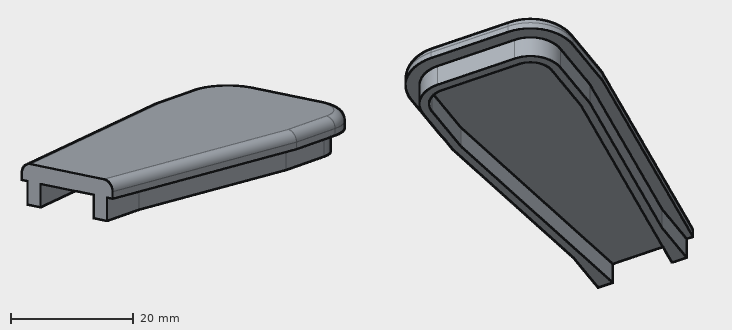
import cadquery as cq
import math

length = 60.5
back_width = 30.0
front_width = 18.75
straight_start = 18.3
corner_radius = 7.85
total_height = 7.0
plate_thickness = 3.0
edge_radius = 1.8

skirt_inset = 2.3
wall_thickness = 1.6
front_pad_length = 8.65

skirt_height = total_height - plate_thickness
front_y = -length / 2
back_y = length / 2
shoulder_y = back_y - straight_start
taper_slope = (back_width - front_width) / 2 / (shoulder_y - front_y)
taper_angle = math.atan(taper_slope)


def inset_half_width(y, inset):
    """Half width on the tapered stretch, with the inset measured square to the side."""
    return front_width / 2 + taper_slope * (y - front_y) - inset / math.cos(taper_angle)


def tapered_body(inset, height):
    """Extrude the cover outline, moved inward everywhere except at the open front end."""
    front_x = inset_half_width(front_y, inset)
    back_x = back_width / 2 - inset
    bend_y = shoulder_y + inset * math.tan(taper_angle / 2)
    outline = [
        (-front_x, front_y),
        (front_x, front_y),
        (back_x, bend_y),
        (back_x, back_y - inset),
        (-back_x, back_y - inset),
        (-back_x, bend_y),
    ]
    body = cq.Workplane("XY").polyline(outline).close().extrude(height)
    return body.edges("|Z and >Y").fillet(corner_radius - inset)


def make_plate():
    """Top plate, rounded along its upper rim except across the open front end."""
    plate = tapered_body(0, plate_thickness)
    plate = plate.faces(">Z").edges("not <Y").fillet(edge_radius)
    return plate.translate((0, 0, skirt_height))


def make_skirt():
    """U-shaped wall, open at the front, with straight outer sides near the front."""
    pad_half_width = inset_half_width(front_y + front_pad_length, skirt_inset)
    front_pad = (
        cq.Workplane("XY")
        .rect(2 * pad_half_width, front_pad_length)
        .extrude(skirt_height)
        .translate((0, front_y + front_pad_length / 2, 0))
    )
    cavity = tapered_body(skirt_inset + wall_thickness, skirt_height)
    return tapered_body(skirt_inset, skirt_height).union(front_pad).cut(cavity)


result = make_plate().union(make_skirt())